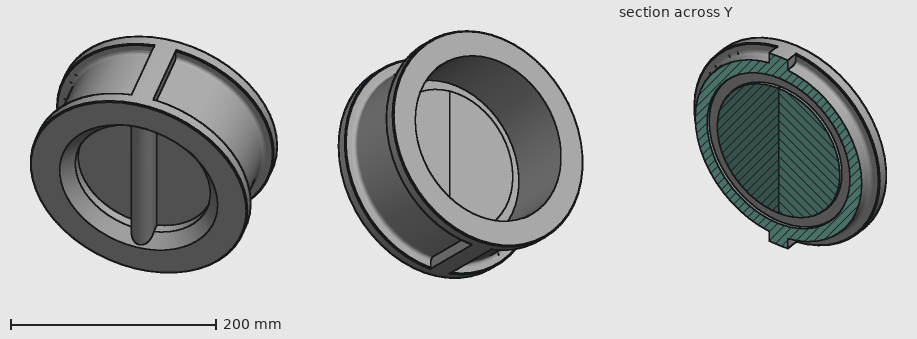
import cadquery as cq

outer_radius = 111.0
length = 98.0
barrel_radius = 99.7
flange_thickness = 13.0
groove_fillet = 4.0
edge_chamfer = 1.0
cut_clearance = 2.2
rib_width = 22.2

inlet_radius = 80.8
inlet_depth = 13.3
seat_radius = 69.0
seat_depth = 23.0
outlet_radius = 170.0 / 2

bar_width = 22.6
bar_nose_depth = 2.2

flap_overlap = 4.5
flap_thickness = 6.7

front_y = -length / 2
back_y = length / 2
seat_y = front_y + seat_depth
bar_radius = bar_width / 2


def cylinder_y(radius, start_y, end_y):
    """Solid cylinder about the Y axis between two positions along it."""
    disc = cq.Workplane("XZ", origin=(0, start_y, 0)).circle(radius)
    return disc.extrude(start_y - end_y)


def make_groove():
    """Ring between the flanges, with filleted floor and bevelled flange rims."""
    cut_radius = outer_radius + cut_clearance
    half_width = length / 2 - flange_thickness
    tube = cylinder_y(cut_radius, -half_width, half_width)
    core = cylinder_y(barrel_radius, -half_width, half_width)
    groove = tube.cut(core)
    inner_edges = cq.selectors.RadiusNthSelector(0)
    groove = groove.edges(inner_edges).fillet(groove_fillet)

    bevel_bottom = outer_radius - edge_chamfer
    rim_width = half_width + edge_chamfer
    bevel = (
        cq.Workplane("XY")
        .moveTo(bevel_bottom, -half_width)
        .lineTo(outer_radius, -rim_width)
        .lineTo(cut_radius, -rim_width)
        .lineTo(cut_radius, rim_width)
        .lineTo(outer_radius, rim_width)
        .lineTo(bevel_bottom, half_width)
        .close()
        .revolve(360, (0, 0, 0), (0, 1, 0))
    )
    rib = cq.Workplane("XY").box(rib_width, length, 2 * cut_radius)
    return groove.union(bevel).cut(rib)


def make_passage():
    """Conical inlet, cylindrical seat bore and wider outlet bore."""
    return (
        cq.Workplane("XY")
        .moveTo(0, front_y)
        .lineTo(inlet_radius, front_y)
        .lineTo(seat_radius, front_y + inlet_depth)
        .lineTo(seat_radius, seat_y)
        .lineTo(outlet_radius, seat_y)
        .lineTo(outlet_radius, back_y)
        .lineTo(0, back_y)
        .close()
        .revolve(360, (0, 0, 0), (0, 1, 0))
    )


def make_bar():
    """Upright round-nosed bar spanning the inlet, ending inside the ring wall."""
    nose_y = front_y + bar_nose_depth
    shoulder_y = nose_y + bar_radius
    return (
        cq.Workplane("XY", origin=(0, 0, -inlet_radius))
        .moveTo(-bar_radius, seat_y)
        .lineTo(-bar_radius, shoulder_y)
        .threePointArc((0, nose_y), (bar_radius, shoulder_y))
        .lineTo(bar_radius, seat_y)
        .close()
        .extrude(2 * inlet_radius)
    )


def make_housing():
    """Flanged ring with top and bottom ribs, stepped passage and centre bar."""
    ring = cylinder_y(outer_radius, front_y, back_y).edges().chamfer(edge_chamfer)
    return ring.cut(make_groove()).cut(make_passage()).union(make_bar()).solids()


def make_flap(side):
    """Half disc against the seat; side is -1 for -X and +1 for +X."""
    flap_radius = seat_radius + flap_overlap
    disc = cylinder_y(flap_radius, seat_y, seat_y + flap_thickness)
    half_space = cq.Workplane("XY").box(flap_radius, length, 2 * flap_radius)
    return disc.intersect(half_space.translate((side * flap_radius / 2, 0, 0)))


housing = make_housing()
flaps = [make_flap(side) for side in (-1, 1)]

result = cq.Compound.makeCompound([housing.val(), *[flap.val() for flap in flaps]])